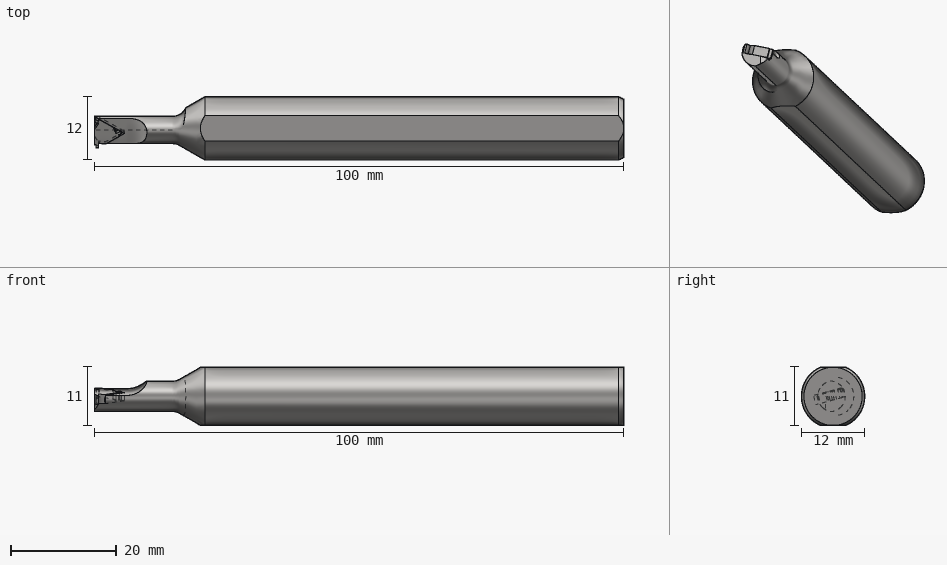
import cadquery as cq
import math

length = 100.0
shank_radius = 6.0
flat_height = 5.5
rear_chamfer_length = 1.0
rear_chamfer_depth = 0.5

neck_radius = 2.9
neck_shift = 0.6
neck_end = 14.8
root_fillet = 2.7
cone_angle = math.radians(30)

bevel_start_y = -1.4
bevel_depth = 1.0

rake_angle = 15.0
gouge_radius = 4.5
gouge_start = 6.2
insert_proud = 0.2
clear = 20.0

inradius = 1.9
insert_thickness = 1.8
insert_y = -1.0
insert_z = 0.9
corner_count = 3
nib_near = 0.3
nib_far = 0.8
shoulder_reach = 2.2
nib_reach = 2.8
nib_root_reach = 1.9
relief_start = 0.8


def revolve_about_x(profile, axis_y):
    return profile.close().revolve(360, (0, 0, 0), (1, 0, 0)).translate((0, axis_y, 0))


def make_shank():
    fillet_end_x = neck_end + root_fillet * math.sin(cone_angle)
    fillet_end_r = neck_radius + root_fillet * (1 - math.cos(cone_angle))
    middle = cone_angle / 2
    cone_end = fillet_end_x + (shank_radius - fillet_end_r) / math.tan(cone_angle)
    profile = (
        cq.Workplane("XY")
        .lineTo(0, neck_radius)
        .lineTo(neck_end, neck_radius)
        .threePointArc(
            (neck_end + root_fillet * math.sin(middle),
             neck_radius + root_fillet * (1 - math.cos(middle))),
            (fillet_end_x, fillet_end_r),
        )
        .lineTo(cone_end, shank_radius)
        .lineTo(length - rear_chamfer_length, shank_radius)
        .lineTo(length, shank_radius - rear_chamfer_depth)
        .lineTo(length, 0)
    )
    flats = cq.Workplane("XY").box(
        length, 2 * shank_radius, 2 * flat_height, centered=(False, True, True)
    )
    return revolve_about_x(profile, 0).intersect(flats)


def make_neck_envelope():
    """Shifted neck bar with a quarter-round root, wide open over the shank."""
    middle = math.radians(45)
    root_x = neck_end + root_fillet
    profile = (
        cq.Workplane("XY")
        .lineTo(0, neck_radius)
        .lineTo(neck_end, neck_radius)
        .threePointArc(
            (neck_end + root_fillet * math.sin(middle),
             neck_radius + root_fillet * (1 - math.cos(middle))),
            (root_x, neck_radius + root_fillet),
        )
        .lineTo(root_x, clear)
        .lineTo(length, clear)
        .lineTo(length, 0)
    )
    return revolve_about_x(profile, -neck_shift)


def place_on_rake(body):
    """Move a body from the XY plane onto the tilted top face of the insert."""
    return body.rotate((0, 0, 0), (1, 0, 0), rake_angle).translate((0, insert_y, insert_z))


def make_gouge():
    middle = math.radians(45)
    center_z = gouge_radius - insert_proud
    cutter = (
        cq.Workplane("XZ")
        .moveTo(-clear, -insert_proud)
        .lineTo(gouge_start, -insert_proud)
        .threePointArc(
            (gouge_start + gouge_radius * math.sin(middle),
             center_z - gouge_radius * math.cos(middle)),
            (gouge_start + gouge_radius, center_z),
        )
        .lineTo(gouge_start + gouge_radius, clear)
        .lineTo(-clear, clear)
        .close()
        .extrude(clear / 2, both=True)
    )
    return place_on_rake(cutter)


def make_end_bevel():
    return (
        cq.Workplane("XY")
        .moveTo(0, bevel_start_y)
        .lineTo(bevel_depth, -neck_radius)
        .lineTo(0, -neck_radius)
        .close()
        .extrude(clear, both=True)
    )


def extrude_down(points):
    body = cq.Workplane("XY").polyline(points).close().extrude(-insert_thickness)
    return place_on_rake(body.translate((inradius, 0, 0)))


def turn(point, corner):
    angle = corner * 2 * math.pi / corner_count
    x, y = point
    return (x * math.cos(angle) - y * math.sin(angle), x * math.sin(angle) + y * math.cos(angle))


def make_pocket():
    corner = (-inradius, -inradius * math.tan(math.pi / corner_count))
    return extrude_down([turn(corner, i) for i in range(corner_count)])


def make_insert():
    corner_points = [
        (-inradius, relief_start),
        (-inradius, -shoulder_reach),
        (nib_near - inradius, -shoulder_reach),
        (nib_near - inradius, -nib_reach),
        (nib_far - inradius, -nib_reach),
        (nib_far - inradius, -nib_root_reach),
    ]
    return extrude_down([turn(p, i) for i in range(corner_count) for p in corner_points])


holder = (
    make_shank()
    .intersect(make_neck_envelope())
    .cut(make_gouge())
    .cut(make_end_bevel())
    .cut(make_pocket())
)
insert = make_insert()

result = cq.Compound.makeCompound([holder.val(), insert.val()])